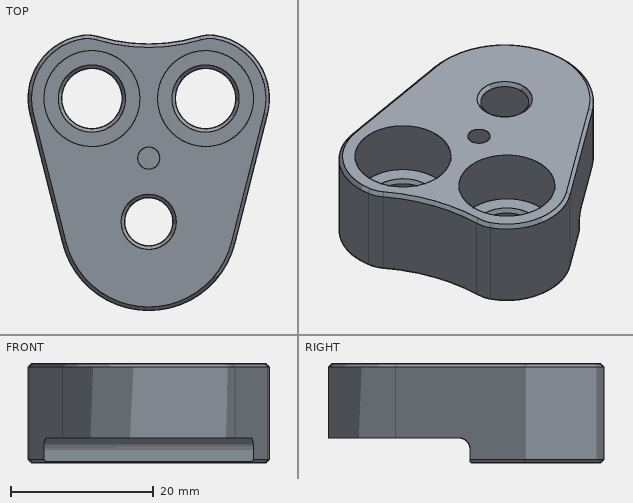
import cadquery as cq
import math

lobe_radius = 9.0
lobe_offset = 8.0
nose_radius = 12.5
center_distance = 17.35
lobe_y = center_distance / 2
nose_y = -center_distance / 2

height = 14.0
edge_chamfer = 0.5

back_radius = 25.0
back_blend_radius = 5.0

step_height = 3.5
step_y = lobe_y - 9.95
step_fillet = 1.5
step_chamfer = 0.2

counterbore_radius = 6.75
counterbore_depth = 8.0
lobe_hole_radius = 4.25
nose_hole_radius = 3.38
pin_hole_radius = 1.55
pin_hole_depth = counterbore_depth
pin_hole_y = lobe_y - 8.4


def make_outline_body():
    """Extrude the outline: sides tangent to lobes and nose, back dipping between the lobe tops."""
    span = math.hypot(lobe_offset, center_distance)
    side_angle = math.asin((nose_radius - lobe_radius) / span) - math.atan2(lobe_offset, center_distance)
    normal_x = math.cos(side_angle)
    normal_y = math.sin(side_angle)
    lobe_x = lobe_offset + lobe_radius * normal_x
    lobe_tangent_y = lobe_y + lobe_radius * normal_y
    nose_x = nose_radius * normal_x
    nose_tangent_y = nose_y + nose_radius * normal_y
    diagonal = lobe_radius * math.sqrt(0.5)
    lobe_top_y = lobe_y + lobe_radius
    back_dip = back_radius - math.sqrt(back_radius**2 - lobe_offset**2)
    body = (
        cq.Workplane("XY")
        .moveTo(-nose_x, nose_tangent_y)
        .threePointArc((0, nose_y - nose_radius), (nose_x, nose_tangent_y))
        .lineTo(lobe_x, lobe_tangent_y)
        .threePointArc((lobe_offset + diagonal, lobe_y + diagonal), (lobe_offset, lobe_top_y))
        .threePointArc((0, lobe_top_y - back_dip), (-lobe_offset, lobe_top_y))
        .threePointArc((-lobe_offset - diagonal, lobe_y + diagonal), (-lobe_x, lobe_tangent_y))
        .close()
        .extrude(height)
    )
    return body.edges("|Z and >Y").fillet(back_blend_radius)


def make_step_cutter():
    """Block below the nose, with its inner top edge rounded."""
    width = 2 * (lobe_offset + lobe_radius)
    length = step_y - (nose_y - nose_radius)
    return (
        cq.Workplane("XY")
        .box(width, length, step_height, centered=(True, False, False))
        .translate((0, step_y - length, 0))
        .edges(">Y and >Z")
        .fillet(step_fillet)
    )


def make_hole(x, y, radius, chamfer_z):
    """Through hole with a chamfered mouth at the given height."""
    hole = cq.Workplane("XY").center(x, y).circle(radius).extrude(height)
    mouth = (
        cq.Workplane("XY", origin=(x, y, chamfer_z))
        .circle(radius + edge_chamfer)
        .workplane(offset=-edge_chamfer)
        .circle(radius)
        .loft()
    )
    return hole.union(mouth)


result = make_outline_body()
result = result.faces("<Z or >Z").chamfer(edge_chamfer)
result = result.cut(make_step_cutter())
result = result.faces("<Z").edges("<Y").chamfer(step_chamfer)

counterbore_floor = height - counterbore_depth
for x in (-lobe_offset, lobe_offset):
    counterbore = (
        cq.Workplane("XY", origin=(x, lobe_y, counterbore_floor))
        .circle(counterbore_radius)
        .extrude(counterbore_depth)
    )
    result = result.cut(counterbore)
    result = result.cut(make_hole(x, lobe_y, lobe_hole_radius, counterbore_floor))

result = result.cut(make_hole(0, nose_y, nose_hole_radius, height))

pin_hole = (
    cq.Workplane("XY", origin=(0, pin_hole_y, height - pin_hole_depth))
    .circle(pin_hole_radius)
    .extrude(pin_hole_depth)
)
result = result.cut(pin_hole)